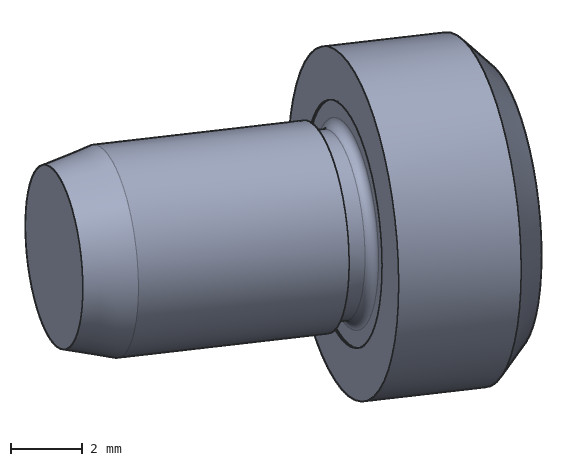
import cadquery as cq

total_length = 13.0
head_diameter = 10.0
head_length = 4.5
head_chamfer = 0.9

shank_diameter = 6.0
tip_diameter = 5.2
tip_length = 1.5

neck_diameter = 5.4
neck_length = 0.8
recess_diameter = 7.0
recess_depth = 0.05
neck_fillet = 0.3

back_face = total_length / 2
tip_face = -total_length / 2
head_underside = back_face - head_length
shank_start = head_underside - neck_length
recess_floor = head_underside + recess_depth


def turned_cylinder(diameter, y_start, y_end):
    """Solid cylinder about the Y axis between two stations."""
    return (
        cq.Workplane("XZ", origin=(0, y_end, 0))
        .circle(diameter / 2)
        .extrude(y_end - y_start)
    )


head = turned_cylinder(head_diameter, head_underside, back_face)
head = head.faces(">Y").chamfer(head_chamfer)
head = head.cut(turned_cylinder(recess_diameter, head_underside, recess_floor))

neck_radius = neck_diameter / 2
flare_radius = neck_radius + neck_fillet
fillet_end = recess_floor - neck_fillet
neck = (
    cq.Workplane("XY")
    .moveTo(0, shank_start)
    .lineTo(neck_radius, shank_start)
    .lineTo(neck_radius, fillet_end)
    .radiusArc((flare_radius, recess_floor), neck_fillet)
    .lineTo(0, recess_floor)
    .close()
    .revolve(360, (0, 0, 0), (0, 1, 0))
)

shank = turned_cylinder(shank_diameter, tip_face, shank_start)
tip_inset = (shank_diameter - tip_diameter) / 2
shank = shank.faces("<Y").edges().chamfer(tip_length, tip_inset)
result = head.union(neck).union(shank)